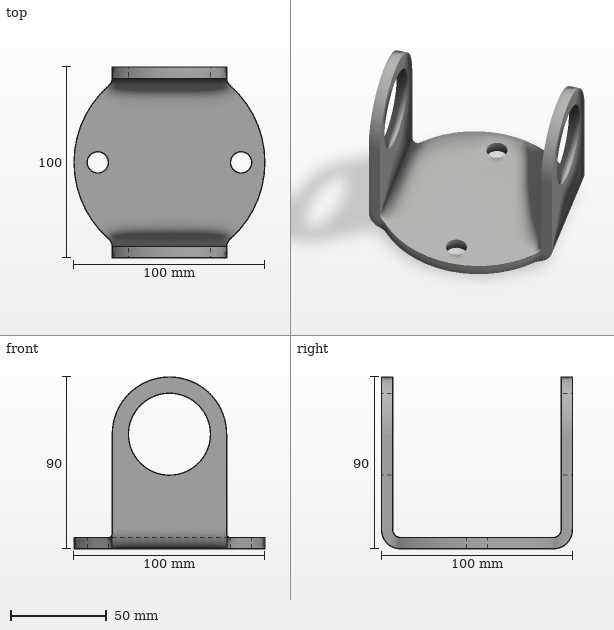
import cadquery as cq
import math

span = 100.0
height = 90.0
thickness = 6.0
overshoot = 1.0

inner_bend_radius = 4.0
outer_bend_radius = inner_bend_radius + thickness

ear_width = 60.0
ear_radius = ear_width / 2
ear_center_z = height - ear_radius
ear_hole_diameter = 42.8
ear_inner_y = span / 2 - thickness

blend_radius = 5.0
blend_center_x = ear_width / 2 + blend_radius

base_hole_diameter = 11.0
base_hole_spacing = 75.0


def bent_strip():
    """U-shaped section in the YZ plane, full width along X."""
    inner_width = span - 2 * thickness
    outer = (
        cq.Workplane("XY")
        .box(span, span, height, centered=(True, True, False))
        .edges("|X and <Z")
        .fillet(outer_bend_radius)
    )
    inner = (
        cq.Workplane("XY", origin=(0, 0, thickness))
        .box(span + 2 * overshoot, inner_width, height, centered=(True, True, False))
        .edges("|X and <Z")
        .fillet(inner_bend_radius)
    )
    return outer.cut(inner)


def plan_prism():
    """Plan outline of the base and ears, extruded to full height."""
    half_span = span / 2
    half_ear = ear_width / 2

    offset = blend_center_x - half_span
    side_radius = (offset**2 + ear_inner_y**2 - blend_radius**2) / (2 * (blend_radius - offset))
    side_center_x = half_span - side_radius

    angle = math.atan2(ear_inner_y, blend_center_x - side_center_x)
    tangent_x = side_center_x + side_radius * math.cos(angle)
    tangent_y = side_radius * math.sin(angle)

    blend_mid_angle = math.pi + angle / 2
    blend_mid_x = blend_center_x + blend_radius * math.cos(blend_mid_angle)
    blend_mid_y = ear_inner_y + blend_radius * math.sin(blend_mid_angle)

    return (
        cq.Workplane("XY")
        .moveTo(-half_ear, -half_span)
        .lineTo(half_ear, -half_span)
        .lineTo(half_ear, -ear_inner_y)
        .threePointArc((blend_mid_x, -blend_mid_y), (tangent_x, -tangent_y))
        .threePointArc((half_span, 0), (tangent_x, tangent_y))
        .threePointArc((blend_mid_x, blend_mid_y), (half_ear, ear_inner_y))
        .lineTo(half_ear, half_span)
        .lineTo(-half_ear, half_span)
        .lineTo(-half_ear, ear_inner_y)
        .threePointArc((-blend_mid_x, blend_mid_y), (-tangent_x, tangent_y))
        .threePointArc((-half_span, 0), (-tangent_x, -tangent_y))
        .threePointArc((-blend_mid_x, -blend_mid_y), (-half_ear, -ear_inner_y))
        .close()
        .extrude(height)
    )


def elevation_prism():
    """Keeps everything below the ear centre and rounds the ear tops."""
    return (
        cq.Workplane("XZ")
        .moveTo(-span / 2, 0)
        .lineTo(span / 2, 0)
        .lineTo(span / 2, ear_center_z)
        .lineTo(ear_radius, ear_center_z)
        .threePointArc((0, height), (-ear_radius, ear_center_z))
        .lineTo(-span / 2, ear_center_z)
        .close()
        .extrude(span / 2, both=True)
    )


def ear_holes():
    """One coaxial cutter through both ears."""
    return (
        cq.Workplane("XZ")
        .center(0, ear_center_z)
        .circle(ear_hole_diameter / 2)
        .extrude(span / 2 + overshoot, both=True)
    )


def base_holes():
    """Mounting hole cutters through the base, one on each side in X."""
    return (
        cq.Workplane("XY")
        .pushPoints([(side * base_hole_spacing / 2, 0) for side in (-1, 1)])
        .circle(base_hole_diameter / 2)
        .extrude(thickness + overshoot, both=True)
    )


bracket = bent_strip().intersect(plan_prism()).intersect(elevation_prism())
result = bracket.cut(ear_holes()).cut(base_holes())